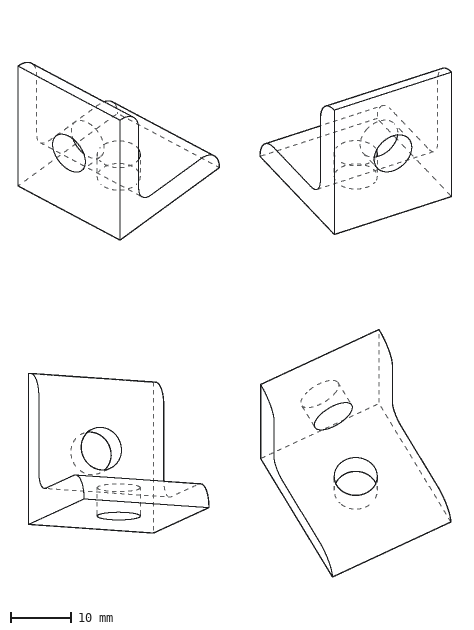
import cadquery as cq

leg_length = 25.4
width = 22.22
thickness = 4.78
root_radius = 3.18
hole_diameter = 7.15
hole_offset = leg_length / 2


def angle_body():
    """L-shaped section in the YZ plane, extruded along X, outer corner at the origin."""
    toe_start = leg_length - thickness
    root_end = thickness + root_radius
    section = (
        cq.Workplane("YZ")
        .lineTo(leg_length, 0)
        .radiusArc((toe_start, thickness), -thickness)
        .lineTo(root_end, thickness)
        .radiusArc((thickness, root_end), root_radius)
        .lineTo(thickness, toe_start)
        .radiusArc((0, leg_length), -thickness)
        .close()
    )
    return section.extrude(width)


def leg_holes():
    """One through hole for each leg, centred across the width."""
    radius = hole_diameter / 2
    base_start = cq.Vector(width / 2, hole_offset, 0)
    wall_start = cq.Vector(width / 2, 0, hole_offset)
    base_hole = cq.Solid.makeCylinder(radius, thickness, base_start, cq.Vector(0, 0, 1))
    wall_hole = cq.Solid.makeCylinder(radius, thickness, wall_start, cq.Vector(0, 1, 0))
    return base_hole, wall_hole


result = angle_body()
for hole in leg_holes():
    result = result.cut(hole)